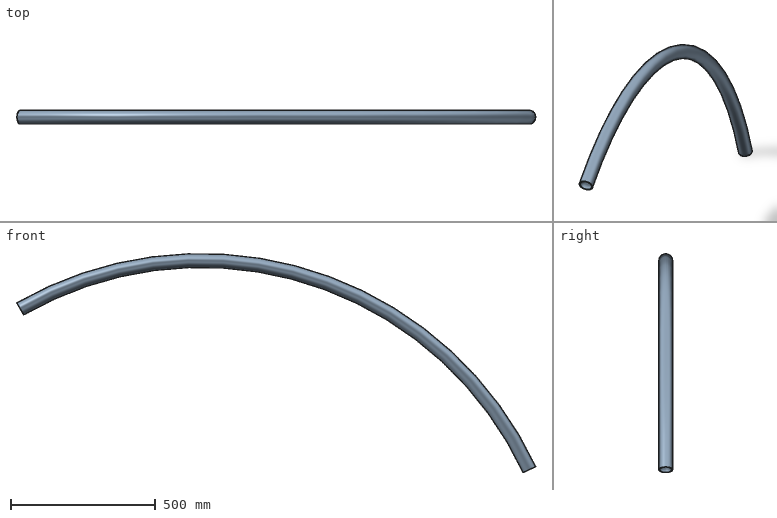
import cadquery as cq
import math

overall_length = 1792.0
tube_diameter = 48.0
wall_thickness = 4.0
bend_radius = 1250.0
right_angle = 65.0

outer_radius = tube_diameter / 2
inner_radius = outer_radius - wall_thickness

outside_bend = bend_radius + outer_radius
right_reach = outside_bend * math.sin(math.radians(right_angle))
left_angle = math.degrees(math.asin((overall_length - right_reach) / outside_bend))


def arc_point(angle):
    """Centreline point at an angle from the crown, positive toward +X; bend centre at the origin."""
    turn = math.radians(angle)
    return cq.Vector(bend_radius * math.sin(turn), 0, bend_radius * math.cos(turn))


start = arc_point(-left_angle)
crown = arc_point(0)
end = arc_point(right_angle)
centreline = cq.Workplane("XZ").moveTo(start.x, start.z).threePointArc((crown.x, crown.z), (end.x, end.z))

start_tangent = cq.Vector(start.z, 0, -start.x)
start_plane = cq.Plane(origin=start, xDir=(0, 1, 0), normal=start_tangent)
section = cq.Workplane(start_plane).circle(outer_radius).circle(inner_radius)

result = section.sweep(centreline)